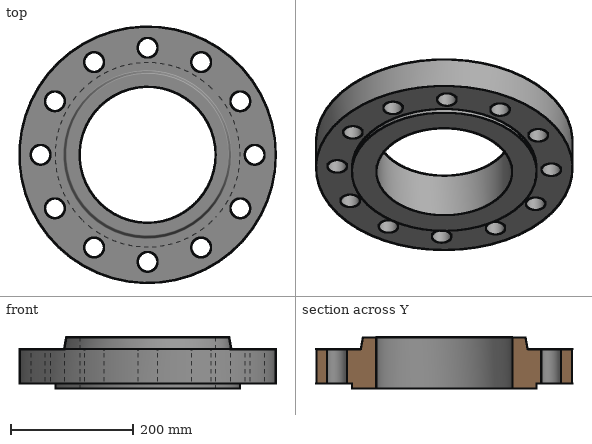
import cadquery as cq
import math

flange_diameter = 419.0
flange_thickness = 56.5
bore_diameter = 221.5

face_diameter = 301.5
face_height = 8.0

overall_height = 84.2
hub_height = overall_height - flange_thickness - face_height
hub_base_diameter = 273.0
hub_taper_angle = 10.0
hub_root_fillet = 1.45
hub_rim_fillet = 1.5

bolt_count = 12
bolt_circle_diameter = 349.5
bolt_hole_diameter = 32.0

flange_top = face_height + flange_thickness
hub_taper = hub_height * math.tan(math.radians(hub_taper_angle))
hub_top_diameter = hub_base_diameter - 2 * hub_taper


def make_body():
    """Revolve the solid profile of raised face, plate and hub about Z."""
    profile = (
        cq.Workplane("XZ")
        .moveTo(0, 0)
        .lineTo(face_diameter / 2, 0)
        .lineTo(face_diameter / 2, face_height)
        .lineTo(flange_diameter / 2, face_height)
        .lineTo(flange_diameter / 2, flange_top)
        .lineTo(hub_base_diameter / 2, flange_top)
        .lineTo(hub_top_diameter / 2, overall_height)
        .lineTo(0, overall_height)
        .close()
    )
    return profile.revolve(360, (0, 0, 0), (0, 1, 0))


def round_hub(body):
    """Fillet the rim of the hub and its root on the plate."""
    body = body.faces(">Z").edges().fillet(hub_rim_fillet)
    plate_top = body.faces("+Z").faces("<Z")
    return plate_top.edges(cq.selectors.RadiusNthSelector(0)).fillet(hub_root_fillet)


def cut_bore(body):
    bore = cq.Workplane("XY").circle(bore_diameter / 2).extrude(overall_height)
    return body.cut(bore)


def cut_bolt_holes(body):
    holes = (
        cq.Workplane("XY")
        .polarArray(bolt_circle_diameter / 2, 0, 360, bolt_count)
        .circle(bolt_hole_diameter / 2)
        .extrude(overall_height)
    )
    return body.cut(holes)


result = cut_bolt_holes(cut_bore(round_hub(make_body())))